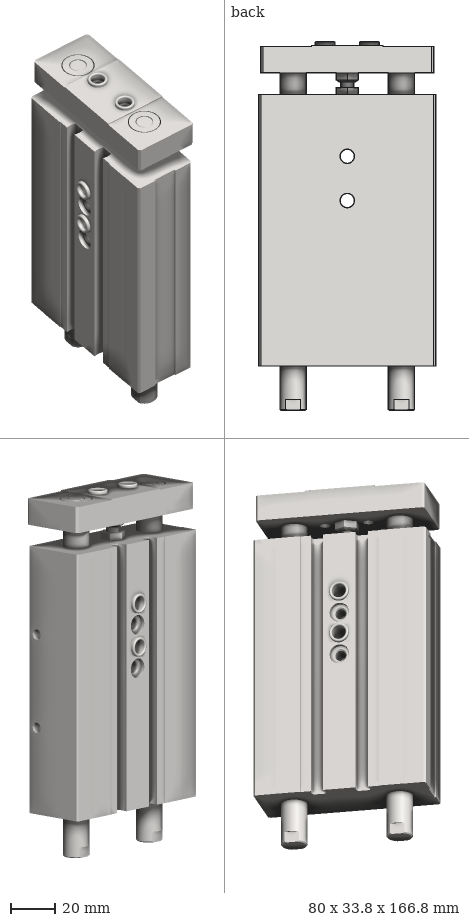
import cadquery as cq
import math


total_height = 166.8
rod_overhang = 20
housing_height = 123.0
yoke_gap = 9.7
sleeve_projection = 1.7
pad_rise = 0.5
housing_top = rod_overhang + housing_height
yoke_bottom = housing_top + yoke_gap
pad_top = total_height - sleeve_projection
yoke_top = pad_top - pad_rise

housing_width = 80
housing_depth = 30.5
housing_chamfer = 1.0
housing_front = -housing_depth / 2
housing_right = housing_width / 2
rail_inner_x = 18.2
rail_outer_x = 29.5
slot_strip_recess = 0.3
edge_recess = 0.08
slot_inner_x = 7.5
slot_outer_x = 13.2
slot_depth = 5.0
slot_bulge = 0.42
side_groove_width = 11.5
side_groove_depth = 0.7

mount_pitch = 10.0
top_mount_z = housing_top - 28.0
sleeved_mount_zs = [top_mount_z, top_mount_z - 2 * mount_pitch]
threaded_mount_zs = [z - mount_pitch for z in sleeved_mount_zs]
thread_core_diameter = 4.8
thread_mouth_diameter = 6.0
thread_mouth_depth = (thread_mouth_diameter - thread_core_diameter) / 2
threaded_hole_depth = 10.0
drill_tip_angle = 118
port_diameter = 4.2
port_mouth_diameter = 4.8
port_depth = 6.7
port_y = 10.0
port_spacing = 43.0
upper_port_z = housing_top - 40.0
port_zs = [upper_port_z, upper_port_z - port_spacing]

sleeve_diameter = 9.0
sleeve_bore = 6.3
sleeve_seat_depth = 2.2
sleeve_length = sleeve_projection + sleeve_seat_depth
yoke_sleeve_xs = [-10.0, 10.0]

yoke_width = 78.4
yoke_front = -14.2
yoke_back = 16.8
yoke_chamfer = 1.0
pad_half_width = 16.2
counterbore_diameter = 15.0
counterbore_depth = 8.0
hex_across_flats = 10.0
hex_tip_across_flats = 7.0
lower_hex_height = 3.0
upper_hex_height = 4.2
hex_taper_height = 1.0
piston_rod_diameter = 6.0

guide_rod_xs = [-24.5, 24.5]
guide_rod_diameter = 12.0
guide_rod_chamfer = 0.5
flat_spacing = 10.0
flat_height = 5.0
neck_diameter = 8.0
head_diameter = 14.0
head_mark_depth = 0.5


def box_between(x0, x1, y0, y1, z0, z1):
    """Axis-aligned block given by its limits."""
    return cq.Workplane("XY").box(x1 - x0, y1 - y0, z1 - z0, centered=False).translate((x0, y0, z0))


def cylinder(diameter, base, direction, length):
    """Round bar that starts at base and runs along direction."""
    return cq.Workplane(cq.Solid.makeCylinder(diameter / 2, length, cq.Vector(*base), cq.Vector(*direction)))


def front_bar(diameter, z, length):
    """Round bar on X = 0 that runs from the front face of the housing into it."""
    return cylinder(diameter, (0, housing_front, z), (0, 1, 0), length)


def drilled_hole(core_diameter, mouth_diameter, depth):
    """Blind hole about +Z from the origin, with a 45 degree mouth and a conical bottom."""
    core = core_diameter / 2
    mouth = mouth_diameter / 2
    tip_height = core / math.tan(math.radians(drill_tip_angle / 2))
    profile = [
        (0, 0),
        (mouth, 0),
        (core, mouth - core),
        (core, depth),
        (0, depth + tip_height),
    ]
    return cq.Workplane("XZ").polyline(profile).close().revolve(360, (0, 0, 0), (0, 1, 0))


def sensor_slot(side):
    """Open slot in the front face: bulging side walls and a flat floor."""
    inner = side * slot_inner_x
    outer = side * slot_outer_x
    floor_y = housing_front + slot_depth
    middle_y = housing_front + slot_depth / 2
    return (
        cq.Workplane("XY", origin=(0, 0, rod_overhang))
        .moveTo(inner, housing_front)
        .threePointArc((inner - side * slot_bulge, middle_y), (inner, floor_y))
        .lineTo(outer, floor_y)
        .threePointArc((outer + side * slot_bulge, middle_y), (outer, housing_front))
        .close()
        .extrude(housing_height)
    )


def housing_profile_block():
    """Extruded body with chamfered corners, front recesses and the right-hand groove."""
    block = box_between(
        -housing_right, housing_right, housing_front, -housing_front, rod_overhang, housing_top
    )
    block = block.edges("|Z").chamfer(housing_chamfer)
    recesses = [
        (-housing_right, -rail_outer_x, edge_recess),
        (-rail_inner_x, -slot_inner_x, slot_strip_recess),
        (slot_inner_x, rail_inner_x, slot_strip_recess),
        (rail_outer_x, housing_right, edge_recess),
    ]
    for x0, x1, depth in recesses:
        block = block.cut(box_between(x0, x1, housing_front, housing_front + depth, rod_overhang, housing_top))
    block = block.cut(
        box_between(
            housing_right - side_groove_depth, housing_right,
            -side_groove_width / 2, side_groove_width / 2,
            rod_overhang, housing_top,
        )
    )
    for side in (-1, 1):
        block = block.cut(sensor_slot(side))
    return block


def make_housing():
    body = housing_profile_block()
    for x in guide_rod_xs:
        body = body.cut(cylinder(guide_rod_diameter, (x, 0, rod_overhang), (0, 0, 1), housing_height))
    for z in sleeved_mount_zs + threaded_mount_zs:
        body = body.cut(front_bar(sleeve_diameter, z, sleeve_seat_depth))
    for z in sleeved_mount_zs:
        body = body.cut(front_bar(sleeve_bore, z, housing_depth))
    threaded_hole = drilled_hole(thread_core_diameter, thread_mouth_diameter, threaded_hole_depth)
    threaded_hole = threaded_hole.rotate((0, 0, 0), (1, 0, 0), -90)
    for z in threaded_mount_zs:
        body = body.cut(threaded_hole.translate((0, housing_front + sleeve_seat_depth, z)))
    port = drilled_hole(port_diameter, port_mouth_diameter, port_depth)
    port = port.rotate((0, 0, 0), (0, 1, 0), 90)
    for z in port_zs:
        body = body.cut(port.translate((-housing_right, port_y, z)))
    return body


def corner_diameter(across_flats):
    """Distance across the corners of a hexagon."""
    return across_flats / math.cos(math.pi / 6)


def hexagon(across_flats, z):
    """Hexagon outline with two corners on the Y axis."""
    outline = cq.Workplane("XY", origin=(0, 0, z)).transformed(rotate=(0, 0, 90))
    return outline.polygon(6, corner_diameter(across_flats))


def piston_rod():
    """Visible end of the piston rod with its wrench hexagon and tapered lock nut."""
    nut_bottom = yoke_bottom - upper_hex_height
    taper_top = nut_bottom + hex_taper_height
    lower_hex = hexagon(hex_across_flats, housing_top).extrude(lower_hex_height)
    shank = cylinder(piston_rod_diameter, (0, 0, housing_top), (0, 0, 1), yoke_gap)
    upper_hex = hexagon(hex_across_flats, taper_top).extrude(yoke_bottom - taper_top)
    taper = (
        hexagon(hex_tip_across_flats, nut_bottom)
        .workplane(offset=hex_taper_height)
        .polygon(6, corner_diameter(hex_across_flats))
        .loft(ruled=True)
    )
    return lower_hex.union(shank).union(taper).union(upper_hex)


def make_yoke():
    """Plate with a raised centre pad; the piston rod is part of it."""
    half_width = yoke_width / 2
    plate = box_between(-half_width, half_width, yoke_front, yoke_back, yoke_bottom, yoke_top)
    plate = plate.edges("|Z").chamfer(yoke_chamfer)
    pad = box_between(-pad_half_width, pad_half_width, yoke_front, yoke_back, yoke_top, pad_top)
    plate = plate.union(pad)
    counterbore_floor = yoke_top - counterbore_depth
    for x in guide_rod_xs:
        plate = plate.cut(cylinder(neck_diameter, (x, 0, yoke_bottom), (0, 0, 1), yoke_top - yoke_bottom))
        plate = plate.cut(cylinder(counterbore_diameter, (x, 0, counterbore_floor), (0, 0, 1), counterbore_depth))
    seat_floor = pad_top - sleeve_seat_depth
    mouth_cone = cq.Workplane(
        cq.Solid.makeCone(
            thread_mouth_diameter / 2, thread_core_diameter / 2, thread_mouth_depth, dir=cq.Vector(0, 0, -1)
        )
    )
    for x in yoke_sleeve_xs:
        plate = plate.cut(cylinder(thread_core_diameter, (x, 0, pad_top), (0, 0, -1), pad_top - yoke_bottom))
        plate = plate.cut(cylinder(sleeve_diameter, (x, 0, pad_top), (0, 0, -1), sleeve_seat_depth))
        plate = plate.cut(mouth_cone.translate((x, 0, seat_floor)))
    return plate.union(piston_rod())


def make_guide_rod(x):
    """Guide rod with wrench flats below and a necked, headed end that holds the yoke."""
    radius = guide_rod_diameter / 2
    neck = neck_diameter / 2
    head = head_diameter / 2
    head_bottom = yoke_top - counterbore_depth
    profile = [
        (0, 0),
        (radius - guide_rod_chamfer, 0),
        (radius, guide_rod_chamfer),
        (radius, yoke_bottom),
        (neck, yoke_bottom),
        (neck, head_bottom),
        (head, head_bottom),
        (head, yoke_top),
        (neck, yoke_top),
        (neck, yoke_top - head_mark_depth),
        (neck - head_mark_depth, yoke_top),
        (0, yoke_top),
    ]
    rod = cq.Workplane("XZ").polyline(profile).close().revolve(360, (0, 0, 0), (0, 1, 0))
    for y0, y1 in [(-radius, -flat_spacing / 2), (flat_spacing / 2, radius)]:
        rod = rod.cut(box_between(-radius, radius, y0, y1, 0, flat_height))
    return rod.translate((x, 0, 0))


def make_sleeve():
    """Centring sleeve on the Z axis, the rim of its upper end fully rounded."""
    inner = sleeve_bore / 2
    outer = sleeve_diameter / 2
    rim_start = sleeve_length - (outer - inner) / 2
    profile = (
        cq.Workplane("XZ")
        .moveTo(inner, 0)
        .lineTo(outer, 0)
        .lineTo(outer, rim_start)
        .threePointArc(((inner + outer) / 2, sleeve_length), (inner, rim_start))
        .close()
    )
    return profile.revolve(360, (0, 0, 0), (0, 1, 0))


def make_yoke_sleeve(x):
    return make_sleeve().translate((x, 0, pad_top - sleeve_seat_depth))


def make_housing_sleeve(z):
    sleeve = make_sleeve().rotate((0, 0, 0), (1, 0, 0), 90)
    return sleeve.translate((0, housing_front + sleeve_seat_depth, z))


housing = make_housing()
yoke = make_yoke()
guide_rods = [make_guide_rod(x) for x in guide_rod_xs]
yoke_sleeves = [make_yoke_sleeve(x) for x in yoke_sleeve_xs]
housing_sleeves = [make_housing_sleeve(z) for z in sleeved_mount_zs]

bodies = [housing, yoke, *guide_rods, *yoke_sleeves, *housing_sleeves]
result = cq.Compound.makeCompound([body.val() for body in bodies])